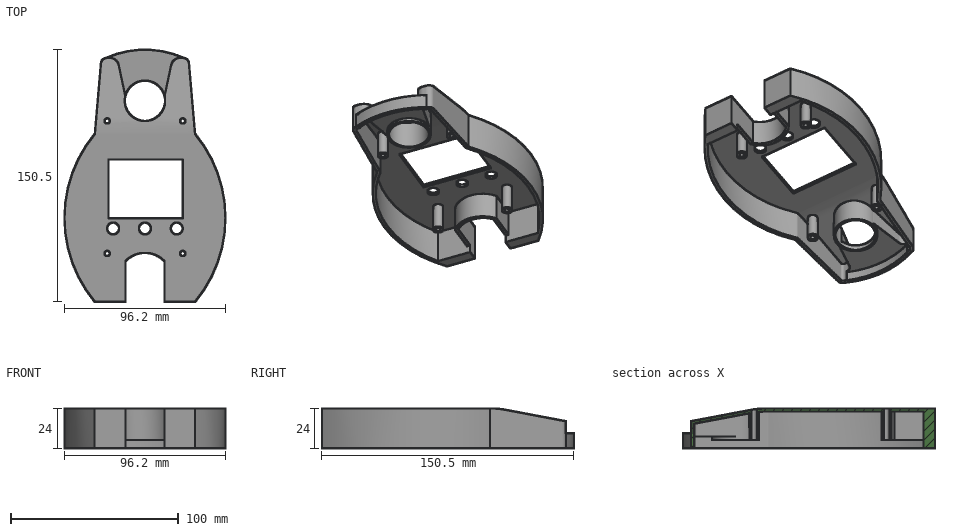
import cadquery as cq
import math

length = 150.5
height = 24.0
wall = 2.0
front_wall = 7.0
inner_wall_base = 5.0

body_half_width = 96.2 / 2
body_end_half_width = 30.0
body_length = 100.3

arm_tip_y = 145.6
arm_tip_outer_x = 26.0
arm_tip_inner_x = 16.5
arm_outer_round = 3.6
arm_inner_round = 5.4
notch_half_width = 11.1
deck_height = 9.0
nose_edge_x = 23.2

slope_start_y = 105.1
arm_tip_height = 16.3
crease_reach = 4.8

neck_hole_diameter = 24.0
neck_tube_diameter = 26.0
neck_hole_y = 120.0
window_width = 44.1
window_front = 50.0
window_depth = 35.0
window_offset_x = 0.38
button_diameter = 7.0
button_spacing = 19.0
button_y = 43.8
screw_diameter = 3.0
post_diameter = 6.0
screw_x = 22.6
screw_rows = (28.9, 108.0)
slot_half_width = 11.6
slot_side_length = 24.2
slot_length = 29.2


def upper_plan():
    """Outline of the body and the two arms."""
    return (
        cq.Workplane("XY")
        .moveTo(-body_end_half_width, 0)
        .lineTo(body_end_half_width, 0)
        .threePointArc((body_half_width, body_length / 2), (body_end_half_width, body_length))
        .lineTo(arm_tip_outer_x, arm_tip_y)
        .lineTo(arm_tip_inner_x, arm_tip_y)
        .lineTo(notch_half_width, neck_hole_y)
        .lineTo(-notch_half_width, neck_hole_y)
        .lineTo(-arm_tip_inner_x, arm_tip_y)
        .lineTo(-arm_tip_outer_x, arm_tip_y)
        .lineTo(-body_end_half_width, body_length)
        .threePointArc((-body_half_width, body_length / 2), (-body_end_half_width, 0))
        .close()
    )


def nose_plan():
    """Outline of the low deck, starting inside the body and ending in the nose arc."""
    return (
        cq.Workplane("XY")
        .moveTo(-body_end_half_width, body_length)
        .lineTo(body_end_half_width, body_length)
        .lineTo(nose_edge_x, arm_tip_y)
        .threePointArc((0, length), (-nose_edge_x, arm_tip_y))
        .close()
    )


def side_profile():
    """Solid under the flat top, the rounded crease and the slope."""
    slope = math.atan2(height - arm_tip_height, arm_tip_y - slope_start_y)
    crease_end = (
        slope_start_y + crease_reach * math.cos(slope),
        height - crease_reach * math.sin(slope),
    )
    end_height = height - (length - slope_start_y) * math.tan(slope)
    return (
        cq.Workplane("YZ")
        .lineTo(0, height)
        .lineTo(slope_start_y - crease_reach, height)
        .tangentArcPoint(crease_end, relative=False)
        .lineTo(length, end_height)
        .lineTo(length, 0)
        .close()
        .extrude(body_half_width, both=True)
    )


def round_edges(solid, edge_centers, radius):
    """Round the vertical edges whose midpoints are listed."""
    for center in edge_centers:
        solid = solid.edges(cq.selectors.NearestToPointSelector(center)).fillet(radius)
    return solid


def body_solid(inset):
    """The outer form, moved inward by inset on its sides and top."""
    outer_tips = [(side * arm_tip_outer_x, arm_tip_y, height / 2) for side in (-1, 1)]
    inner_tips = [(side * arm_tip_inner_x, arm_tip_y, height / 2) for side in (-1, 1)]
    upper = round_edges(upper_plan().extrude(height), outer_tips, arm_outer_round)
    upper = round_edges(upper, inner_tips, arm_inner_round)
    nose = nose_plan()
    if inset:
        outline = upper.faces("<Z").wires().toPending().workplane(origin=(0, 0, 0), invert=True)
        upper = outline.offset2D(-inset).extrude(height, combine=False)
        nose = nose.offset2D(-inset)
    nose = nose.extrude(deck_height - inset)
    return upper.intersect(side_profile().translate((0, 0, -inset))).union(nose)


def slot_solid(margin):
    """The open front slot, widened by margin."""
    return (
        cq.Workplane("XY")
        .moveTo(-slot_half_width - margin, 0)
        .lineTo(slot_half_width + margin, 0)
        .lineTo(slot_half_width + margin, slot_side_length)
        .threePointArc((0, slot_length + margin), (-slot_half_width - margin, slot_side_length))
        .close()
        .extrude(height)
    )


def cylinders(points, diameter):
    return cq.Workplane("XY").pushPoints(points).circle(diameter / 2).extrude(height)


neck_hole_points = [(0, neck_hole_y)]
screw_points = [(side * screw_x, y) for y in screw_rows for side in (-1, 1)]
button_points = [(step * button_spacing, button_y) for step in (-1, 0, 1)]

inner_walls = (
    slot_solid(wall)
    .union(cylinders(neck_hole_points, neck_tube_diameter))
    .union(cylinders(screw_points, post_diameter))
    .intersect(
        cq.Workplane("XY")
        .box(2 * body_half_width, length, height, centered=(True, False, False))
        .translate((0, 0, inner_wall_base))
    )
)
front_block = cq.Workplane("XY").box(
    2 * body_half_width, front_wall, height, centered=(True, False, False)
)
cavity = body_solid(wall).cut(front_block).cut(inner_walls)

window = (
    cq.Workplane("XY")
    .box(window_width, window_depth, height, centered=(True, False, False))
    .translate((window_offset_x, window_front, 0))
)
result = (
    body_solid(0)
    .cut(cavity)
    .cut(slot_solid(0))
    .cut(window)
    .cut(cylinders(neck_hole_points, neck_hole_diameter))
    .cut(cylinders(button_points, button_diameter))
    .cut(cylinders(screw_points, screw_diameter))
)